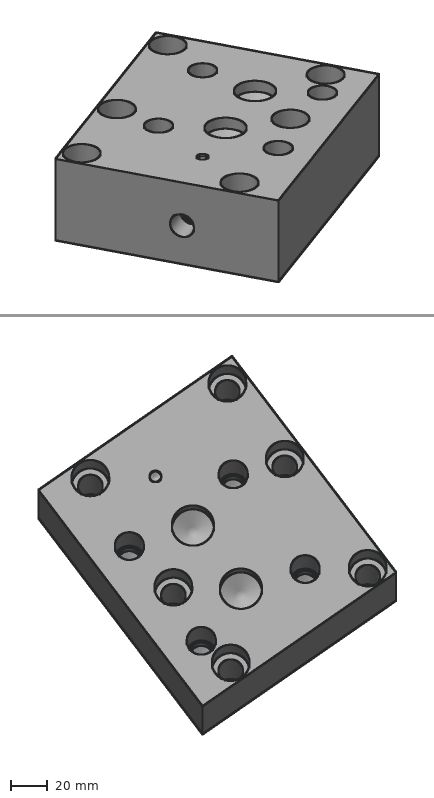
import cadquery as cq
import math

length_x = 130.1
length_y = 152.4
height = 50.7

bolt_diameter = 13.4
counterbore_diameter = 20.5
counterbore_depth = 15.2
bolt_edge_inset = 11.1
bolt_column_pitch = 92.0
middle_bolt_offset = 11.9

pattern_inset_x = 73.9
pattern_x = pattern_inset_x - length_x / 2
pattern_pitch_x = 69.8
pattern_pitch_y = 66.8
pattern_y = 12.2

thread_diameter = 15.8
thread_depth = 24.4
tap_drill_diameter = 13.5
tap_drill_depth = 30.5

port_diameter = 23.0
port_depth = 6.9
rear_port_y = 34.1
front_port_y = -10.4
pin_hole_diameter = 6.4
pin_hole_depth = 1.5
pin_hole_y = -45.1

vent_diameter = 13.9
vent_depth = 15.2
vent_drill_diameter = 10.7
vent_drill_depth = 21.3
vent_height = 24.0

drill_point_angle = 118.0
down = cq.Vector(0, 0, -1)
inward = cq.Vector(0, 1, 0)


def cylinder(diameter, depth, mouth, direction):
    """Flat-ended cutter starting at the hole mouth."""
    return cq.Workplane(cq.Solid.makeCylinder(diameter / 2, depth, mouth, direction))


def drill(diameter, depth, mouth, direction):
    """Cutter with a conical drill point beyond its full-diameter depth."""
    radius = diameter / 2
    point_length = radius / math.tan(math.radians(drill_point_angle / 2))
    point = cq.Solid.makeCone(radius, 0, point_length, mouth + direction * depth, direction)
    return cylinder(diameter, depth, mouth, direction).union(cq.Workplane(point))


def top_point(x, y):
    return cq.Vector(x, y, height)


result = cq.Workplane("XY").box(length_x, length_y, height, centered=(True, True, False))

left_column_x = -length_x / 2 + bolt_edge_inset
right_column_x = left_column_x + bolt_column_pitch
bolt_end_y = length_y / 2 - bolt_edge_inset
for x, middle_y in ((left_column_x, -middle_bolt_offset), (right_column_x, middle_bolt_offset)):
    for y in (-bolt_end_y, middle_y, bolt_end_y):
        mouth = top_point(x, y)
        result = result.cut(cylinder(bolt_diameter, height, mouth, down))
        result = result.cut(cylinder(counterbore_diameter, counterbore_depth, mouth, down))

for x_side in (-1, 1):
    for y_side in (-1, 1):
        mouth = top_point(
            pattern_x + x_side * pattern_pitch_x / 2,
            pattern_y + y_side * pattern_pitch_y / 2,
        )
        result = result.cut(drill(tap_drill_diameter, tap_drill_depth, mouth, down))
        result = result.cut(cylinder(thread_diameter, thread_depth, mouth, down))

for y in (rear_port_y, front_port_y):
    result = result.cut(drill(port_diameter, port_depth, top_point(pattern_x, y), down))
result = result.cut(drill(pin_hole_diameter, pin_hole_depth, top_point(pattern_x, pin_hole_y), down))

vent_mouth = cq.Vector(pattern_x, -length_y / 2, vent_height)
result = result.cut(drill(vent_drill_diameter, vent_drill_depth, vent_mouth, inward))
result = result.cut(cylinder(vent_diameter, vent_depth, vent_mouth, inward))